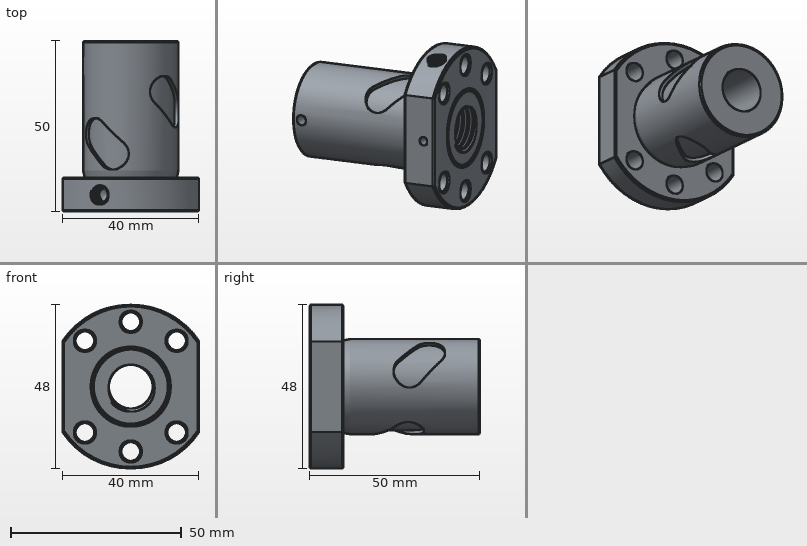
import cadquery as cq
import math


total_length = 50.0
flange_radius = 24.0
flange_thickness = 10.0
flange_width = 40.0
barrel_radius = 14.0
neck_length = 2.0
neck_root_radius = 13.6
edge_chamfer = 0.5

bolt_circle_radius = 19.0
bolt_hole_radius = 2.75
bolt_hole_chamfer = 0.5
bolt_hole_angles = [45, 90, 135, 225, 270, 315]

ring_radius = 11.25
ring_thickness = 7.0
recess_chamfer = 0.5
ring_chamfer = 0.4

bore_minor_radius = 6.4
bore_major_radius = 7.35
bore_pitch = 1.75
bore_crest_width = 0.45
bore_root_width = 0.2
bore_root_angle = -60.0

oil_port_angle = 112.5
oil_port_y = flange_thickness / 2
oil_port_depth = 6.0
oil_minor_radius = 2.5
oil_major_radius = 3.0
oil_pitch = 1.0
oil_crest_width = 0.25
oil_root_width = 0.1

screw_hole_angle = 180.0
front_screw_radius = 1.25
front_screw_y = ring_thickness / 2
front_screw_depth = 7.0
rear_screw_radius = 1.5
rear_screw_y = total_length - 3.0
rear_screw_depth = 5.0

drill_point_half_angle = 60.0

pocket_places = [(126.0, 19.8), (32.6, 32.2), (278.5, 26.0)]
pocket_width = 9.3
pocket_centre_distance = 8.5
pocket_tilt = -43.0
pocket_depth = 1.2


def revolved_about_y(profile):
    """Solid of revolution from (radius, y) points."""
    return cq.Workplane("XY").polyline(profile).close().revolve(360, (0, 0, 0), (0, 1, 0))


def axial_cylinder(radius, length):
    """Cylinder along Y that starts at y = 0."""
    return cq.Workplane("XZ").circle(radius).extrude(-length)


def radial_plane(angle, radius, y):
    """Plane that faces away from the Y axis; its local y direction is Y."""
    outward = cq.Vector(math.cos(math.radians(angle)), 0, math.sin(math.radians(angle)))
    centre = outward * radius + cq.Vector(0, y, 0)
    return cq.Plane(origin=centre, xDir=cq.Vector(0, 1, 0).cross(outward), normal=outward)


def placed(body, plane):
    """The body moved so that its own axes become those of the plane."""
    return cq.Workplane(obj=body.val().moved(cq.Location(plane)))


def thread_groove(minor_radius, major_radius, pitch, crest_width, root_width, length):
    """Helical groove along Z whose root starts on +X at z = 0.

    The flanks run on inside the minor radius, so the bore drilled through later leaves clean crests.
    """
    inward_share = 0.5
    depth = major_radius - minor_radius
    mouth_width = pitch - crest_width
    inner_radius = minor_radius - inward_share * depth
    inner_width = mouth_width + inward_share * (mouth_width - root_width)
    helix = cq.Wire.makeHelix(pitch, length, minor_radius)
    profile = cq.Workplane("XZ").polyline([
        (inner_radius, -inner_width / 2),
        (major_radius, -root_width / 2),
        (major_radius, root_width / 2),
        (inner_radius, inner_width / 2),
    ]).close()
    return profile.sweep(cq.Workplane(obj=helix), isFrenet=True)


def drill_point(radius):
    """Cone with its base at z = 0 and its tip pointing towards -Z."""
    point_length = radius / math.tan(math.radians(drill_point_half_angle))
    return cq.Workplane(obj=cq.Solid.makeCone(radius, 0, point_length, dir=cq.Vector(0, 0, -1)))


def with_bore_thread(body, length):
    """Cut the bore thread, from before y = 0 to beyond the given length."""
    run_out = 2 * bore_pitch
    groove = thread_groove(
        bore_minor_radius, bore_major_radius, bore_pitch, bore_crest_width, bore_root_width,
        length + 2 * run_out,
    )
    along_y = groove.rotate((0, 0, 0), (1, 0, 0), -90).translate((0, -run_out, 0))
    turned = along_y.rotate((0, 0, 0), (0, 1, 0), -bore_root_angle)
    return body.cut(turned)


def flange():
    disc = axial_cylinder(flange_radius, flange_thickness)
    flats = cq.Workplane("XY").box(flange_width, 2 * flange_thickness, 2 * flange_radius)
    return disc.intersect(flats).faces("<Y or >Y").chamfer(edge_chamfer)


def barrel():
    return revolved_about_y([
        (0, 0),
        (neck_root_radius, 0),
        (neck_root_radius, flange_thickness),
        (barrel_radius, flange_thickness + neck_length),
        (barrel_radius, total_length - edge_chamfer),
        (barrel_radius - edge_chamfer, total_length),
        (0, total_length),
    ])


def ring_recess():
    return revolved_about_y([
        (0, 0),
        (ring_radius + recess_chamfer, 0),
        (ring_radius, recess_chamfer),
        (ring_radius, ring_thickness),
        (0, ring_thickness),
    ])


def bolt_hole(angle):
    hole = revolved_about_y([
        (0, 0),
        (bolt_hole_radius + bolt_hole_chamfer, 0),
        (bolt_hole_radius, bolt_hole_chamfer),
        (bolt_hole_radius, flange_thickness),
        (0, flange_thickness),
    ])
    return hole.translate(radial_plane(angle, bolt_circle_radius, 0).origin)


def return_pocket(angle, y):
    """Tilted slot whose floor runs parallel to the barrel surface."""
    slot = (
        cq.Workplane(radial_plane(angle, 0, y))
        .transformed(rotate=(0, 0, pocket_tilt))
        .slot2D(pocket_centre_distance + pocket_width, pocket_width)
        .extrude(barrel_radius)
    )
    return slot.cut(axial_cylinder(barrel_radius - pocket_depth, total_length))


def radial_drill(radius, depth, angle, surface_radius, y):
    """Radial drill cutter whose full radius ends at the given depth below the surface."""
    bottom = radial_plane(angle, surface_radius - depth, y)
    shank = cq.Workplane("XY").circle(radius).extrude(depth)
    return placed(shank.union(drill_point(radius)), bottom)


def with_oil_port(body):
    groove = thread_groove(
        oil_minor_radius, oil_major_radius, oil_pitch, oil_crest_width, oil_root_width,
        oil_port_depth + oil_pitch,
    )
    bottom = radial_plane(oil_port_angle, flange_radius - oil_port_depth, oil_port_y)
    hole = radial_drill(oil_minor_radius, oil_port_depth, oil_port_angle, flange_radius, oil_port_y)
    return body.cut(placed(groove, bottom)).cut(hole)


def screw_hole(radius, depth, surface_radius, y):
    return radial_drill(radius, depth, screw_hole_angle, surface_radius, y)


def nut_body():
    body = flange().union(barrel()).cut(ring_recess())
    for angle in bolt_hole_angles:
        body = body.cut(bolt_hole(angle))
    for angle, y in pocket_places:
        body = body.cut(return_pocket(angle, y))
    body = body.cut(screw_hole(front_screw_radius, front_screw_depth, flange_width / 2, front_screw_y))
    body = body.cut(screw_hole(rear_screw_radius, rear_screw_depth, barrel_radius, rear_screw_y))
    body = with_oil_port(body)
    return body.cut(axial_cylinder(bore_minor_radius, total_length))


def seal_ring_body():
    body = axial_cylinder(ring_radius, ring_thickness).faces("<Y").chamfer(ring_chamfer)
    body = with_bore_thread(body, ring_thickness)
    return body.cut(axial_cylinder(bore_minor_radius, ring_thickness))


nut = nut_body()
seal_ring = seal_ring_body()

result = cq.Compound.makeCompound([nut.val(), seal_ring.val()])